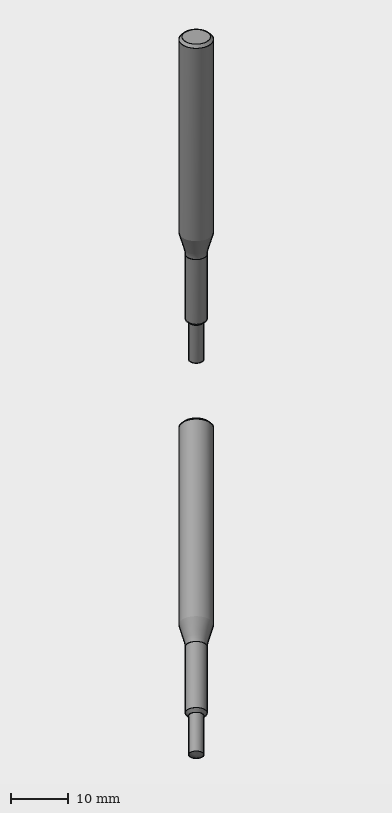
import cadquery as cq
import math

shank_diameter = 6.0
body_diameter = 3.8
pilot_diameter = 2.65

total_length = 66.0
shank_bottom_z = 26.3
cutter_top_z = 21.9
step_z = 8.8

taper_half_angle = math.radians(16)
step_half_angle = math.radians(45)
point_half_angle = math.radians(70)
shank_chamfer = 0.5

shank_radius = shank_diameter / 2
body_radius = body_diameter / 2
pilot_radius = pilot_diameter / 2


def make_shank():
    """Chamfered shank whose taper blends tangentially into the cutter diameter."""
    corner_z = shank_bottom_z - (shank_radius - body_radius) / math.tan(taper_half_angle)
    tangent_length = corner_z - cutter_top_z
    blend_radius = tangent_length / math.tan(taper_half_angle / 2)

    def blend_point(angle):
        return (
            body_radius + blend_radius * (1 - math.cos(angle)),
            cutter_top_z + blend_radius * math.sin(angle),
        )

    return (
        cq.Workplane("XZ")
        .moveTo(0, cutter_top_z)
        .lineTo(body_radius, cutter_top_z)
        .threePointArc(blend_point(taper_half_angle / 2), blend_point(taper_half_angle))
        .lineTo(shank_radius, shank_bottom_z)
        .lineTo(shank_radius, total_length - shank_chamfer)
        .lineTo(shank_radius - shank_chamfer, total_length)
        .lineTo(0, total_length)
        .close()
        .revolve(360, (0, 0), (0, 1))
    )


def make_cutter():
    """Stepped cutter with a conical step and a conical point."""
    point_height = pilot_radius / math.tan(point_half_angle)
    step_height = (body_radius - pilot_radius) / math.tan(step_half_angle)
    return (
        cq.Workplane("XZ")
        .moveTo(0, 0)
        .lineTo(pilot_radius, point_height)
        .lineTo(pilot_radius, step_z - step_height)
        .lineTo(body_radius, step_z)
        .lineTo(body_radius, cutter_top_z)
        .lineTo(0, cutter_top_z)
        .close()
        .revolve(360, (0, 0), (0, 1))
    )


shank = make_shank()
cutter = make_cutter()

result = cq.Compound.makeCompound([shank.val(), cutter.val()])